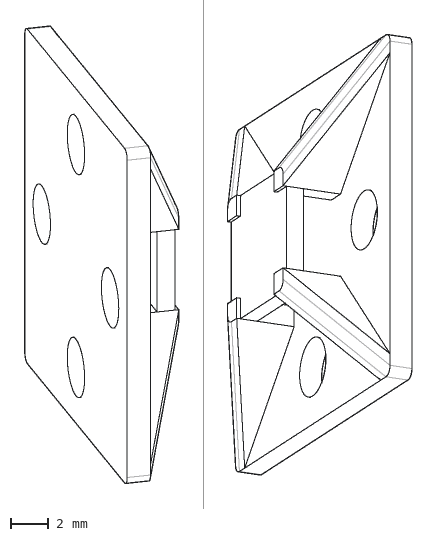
import cadquery as cq

plate_side = 19.0
plate_thickness = 1.3
corner_radius = 0.5
total_depth = 4.65

hole_diameter = 3.21
hole_offset = 6.33

opening_width = 4.56
rib_edge_width = 1.14
opening_half = opening_width / 2
crown_half = opening_half + rib_edge_width
rib_height = total_depth - plate_thickness

bridge_thickness = 0.99
bridge_recess = 0.2
bridge_side = 2 * crown_half


def plane_at(depth):
    """Plane parallel to the plate with its normal along -Y."""
    return cq.Workplane("XZ", origin=(0, depth, 0))


def rounded_square(side):
    return cq.Sketch().rect(side, side).vertices().fillet(corner_radius)


def make_plate():
    plate = plane_at(0).placeSketch(rounded_square(plate_side)).extrude(-plate_thickness)
    hole_centers = [(hole_offset, 0), (-hole_offset, 0), (0, hole_offset), (0, -hole_offset)]
    holes = plane_at(0).pushPoints(hole_centers).circle(hole_diameter / 2).extrude(-plate_thickness)
    return plate.cut(holes)


def make_ribs():
    pyramid = (
        plane_at(plate_thickness)
        .placeSketch(
            rounded_square(plate_side),
            rounded_square(2 * crown_half).moved(cq.Location(cq.Vector(0, 0, -rib_height))),
        )
        .loft()
    )
    plate_half = plate_side / 2
    strip_points = [
        (opening_half, opening_half),
        (crown_half, opening_half),
        (plate_half, plate_half - rib_edge_width),
        (plate_half, plate_half),
        (plate_half - rib_edge_width, plate_half),
        (opening_half, crown_half),
    ]
    strip = plane_at(plate_thickness).polyline(strip_points).close().extrude(-rib_height)
    rib = pyramid.intersect(strip)
    return [rib.rotate((0, 0, 0), (0, 1, 0), angle) for angle in (0, 90, 180, 270)]


def make_bridge():
    bridge_back = total_depth - bridge_recess
    return plane_at(bridge_back).rect(bridge_side, bridge_side).extrude(bridge_thickness)


result = make_plate().union(make_bridge())
for corner_rib in make_ribs():
    result = result.union(corner_rib)